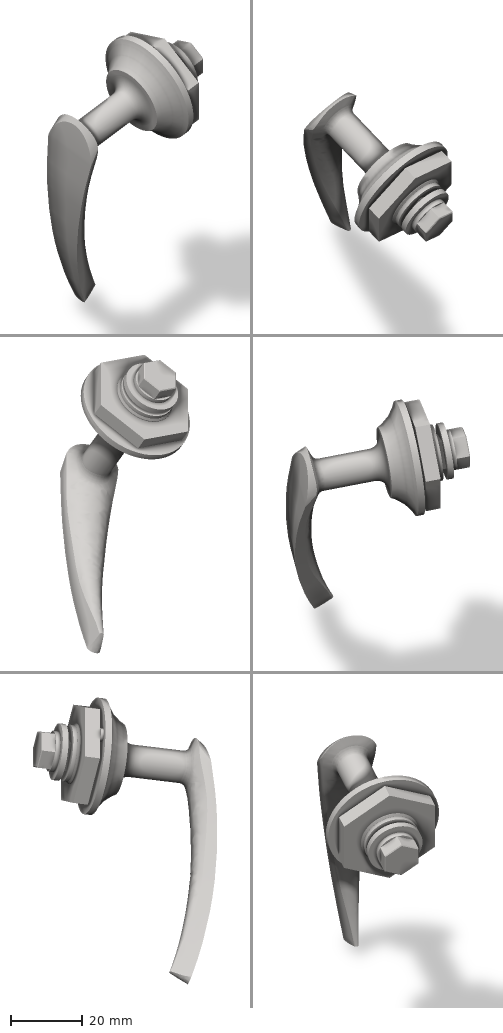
import cadquery as cq
import math


FLANGE_RADIUS = 16.5
FLANGE_THICKNESS = 1.95
HOUSING_DEPTH = 8.1
SEAT_RADIUS = 10.1
FLARE_MID_RADIUS = 12.0
FLARE_MID_DEPTH = 5.2
BARREL_RADIUS = 8.6
BARREL_LENGTH = 5.9
BARREL_CHAMFER = 0.5
LUG_DIAMETER = 3.7
LUG_OFFSET = 12.9

NUT_ACROSS_FLATS = 27.0
NUT_THICKNESS = 4.25
NUT_GAP = 0.85

WASHER_DIAMETER = 16.1
INNER_WASHER_THICKNESS = 1.3
WASHER_SPACING = 1.4
OUTER_WASHER_THICKNESS = 1.7
SPRING_WASHER_THICKNESS = 1.45
OUTER_WASHER_Y = BARREL_LENGTH + INNER_WASHER_THICKNESS + WASHER_SPACING
SPRING_WASHER_Y = OUTER_WASHER_Y + OUTER_WASHER_THICKNESS
BOLT_HEAD_Y = SPRING_WASHER_Y + SPRING_WASHER_THICKNESS

BOLT_ACROSS_FLATS = 10.0
BOLT_HEAD_HEIGHT = 3.9
BOLT_HEAD_CHAMFER = 0.25
BOLT_SHANK_DIAMETER = 6.0
BOLT_SHANK_LENGTH = 11.9

SPINDLE_DIAMETER = 11.6
NECK_RADIUS = 4.6
NECK_FLARE_RADIUS = 3.6
SHOULDER_RADIUS = NECK_RADIUS + NECK_FLARE_RADIUS
SHOULDER_THICKNESS = 1.7
NECK_END_Y = -28.9
NECK_MARGIN = 0.2
NECK_TO_LEVER_FILLET = 2.0

HEAD_RADIUS = 8.6
TIP_RADIUS = 2.0
TIP_END_Z = -68.5
TIP_END_Y = -28.3
TIP_SLANT = 0.53
RIM_BEVEL_Y = -29.3
RIM_BEVEL_SLOPE = 0.9
FRONT_APEX_Y = -35.1
FRONT_APEX_Z = -26.7
FRONT_ARC_RADIUS = 131.75
BACK_APEX_Y = -29.2
BACK_APEX_Z = -24.65
BACK_ARC_RADIUS = 132.6
SIDE_DRAFT = 0.25
BLANK_FRONT_Y = -39.1
BLANK_BACK_Y = -18.7
ARM_STATIONS = [(-5.95, 2.9), (-12.75, 3.2), (-27.2, 2.6), (-38.25, 2.55), (-51, 1.45), (-65.45, 0.5), (-71.4, 0.3)]
HEAD_STATIONS = [(10.2, -29.1, 0.3), (5.1, -27.9, 1.7), (0, -26.9, 2.7)]


def across_y(y):
    """Sketch plane at height y: local x is X, local y is Z, extrusion goes toward -Y."""
    return cq.Workplane("XZ", origin=(0, y, 0))


def cylinder(diameter, y, length):
    return across_y(y).circle(diameter / 2).extrude(-length)


def hexagon(across_flats, y, length):
    """Hexagonal prism with corners at +Z and -Z."""
    corner_diameter = across_flats / math.cos(math.pi / 6)
    prism = across_y(y).polygon(6, corner_diameter).extrude(-length)
    return prism.rotate((0, 0, 0), (0, 1, 0), 30)


def square_end(y, length):
    """Square prism with its corners on the X and Z axes."""
    return across_y(y).polygon(4, SPINDLE_DIAMETER).extrude(-length)


def make_housing():
    profile = (
        cq.Workplane("XY")
        .moveTo(0, -HOUSING_DEPTH)
        .lineTo(SEAT_RADIUS, -HOUSING_DEPTH)
        .threePointArc((FLARE_MID_RADIUS, -FLARE_MID_DEPTH), (FLANGE_RADIUS, -FLANGE_THICKNESS))
        .lineTo(FLANGE_RADIUS, 0)
        .lineTo(BARREL_RADIUS, 0)
        .lineTo(BARREL_RADIUS, BARREL_LENGTH - BARREL_CHAMFER)
        .lineTo(BARREL_RADIUS - BARREL_CHAMFER, BARREL_LENGTH)
        .lineTo(0, BARREL_LENGTH)
        .close()
    )
    body = profile.revolve(360, (0, 0, 0), (0, 1, 0))
    lug = cylinder(LUG_DIAMETER, 0, NUT_GAP).translate((-LUG_OFFSET, 0, 0))
    bore = cylinder(SPINDLE_DIAMETER, -HOUSING_DEPTH, HOUSING_DEPTH + BARREL_LENGTH)
    recess = cylinder(2 * SHOULDER_RADIUS, -HOUSING_DEPTH, SHOULDER_THICKNESS)
    return body.union(lug).cut(bore).cut(recess)


def make_nut():
    bore = cylinder(2 * BARREL_RADIUS, NUT_GAP, NUT_THICKNESS)
    return hexagon(NUT_ACROSS_FLATS, NUT_GAP, NUT_THICKNESS).cut(bore)


def make_square_washer(y, thickness):
    return cylinder(WASHER_DIAMETER, y, thickness).cut(square_end(y, thickness))


def make_spring_washer():
    ring = cylinder(SPINDLE_DIAMETER, SPRING_WASHER_Y, SPRING_WASHER_THICKNESS)
    return ring.cut(cylinder(BOLT_SHANK_DIAMETER, SPRING_WASHER_Y, SPRING_WASHER_THICKNESS))


def make_bolt_shank():
    return cylinder(BOLT_SHANK_DIAMETER, BOLT_HEAD_Y - BOLT_SHANK_LENGTH, BOLT_SHANK_LENGTH)


def make_bolt():
    head = hexagon(BOLT_ACROSS_FLATS, BOLT_HEAD_Y, BOLT_HEAD_HEIGHT)
    head = head.faces(">Y").chamfer(BOLT_HEAD_CHAMFER)
    return head.union(make_bolt_shank())


def tip_center_z(y):
    return TIP_END_Z + TIP_RADIUS + TIP_SLANT * (y - TIP_END_Y)


def rounded_outline(y, head_z, tip_z, tip_radius):
    """Closed wire at y: a head circle and a tip circle joined by their common tangents."""
    lean = math.asin((HEAD_RADIUS - tip_radius) / (head_z - tip_z))
    across = math.cos(lean)
    down = math.sin(lean)

    def tangent_point(radius, center_z, side):
        return side * radius * across, center_z - radius * down

    return (
        across_y(y)
        .moveTo(*tangent_point(HEAD_RADIUS, head_z, -1))
        .threePointArc((0, head_z + HEAD_RADIUS), tangent_point(HEAD_RADIUS, head_z, 1))
        .lineTo(*tangent_point(tip_radius, tip_z, 1))
        .threePointArc((0, tip_z - tip_radius), tangent_point(tip_radius, tip_z, -1))
        .close()
        .val()
    )


def make_lever_blank():
    """Tapered outline carried through the thickness, with its tip slanted."""
    outlines = [
        rounded_outline(y, 0, tip_center_z(y), TIP_RADIUS) for y in (BLANK_BACK_Y, BLANK_FRONT_Y)
    ]
    return cq.Workplane(cq.Solid.makeLoft(outlines, True))


def make_rim_cutter():
    """Block in front of the bevel start, hollowed by an oblique slot that clears the arm."""
    depth = RIM_BEVEL_Y - BLANK_FRONT_Y
    block = across_y(RIM_BEVEL_Y).rect(4 * HEAD_RADIUS, 4 * HEAD_RADIUS).extrude(depth)

    def slot(y):
        head_z = RIM_BEVEL_SLOPE * (y - RIM_BEVEL_Y)
        return rounded_outline(y, head_z, TIP_END_Z, HEAD_RADIUS)

    clearance = cq.Solid.makeLoft([slot(RIM_BEVEL_Y), slot(BLANK_FRONT_Y)], True)
    return block.cut(cq.Workplane(clearance))


def arc_drop(radius, offset):
    """Distance an arc falls back at the given offset from its apex."""
    return radius - math.sqrt(radius ** 2 - offset ** 2)


def front_face_y(z):
    return FRONT_APEX_Y + arc_drop(FRONT_ARC_RADIUS, z - FRONT_APEX_Z)


def crowned_section(z, ridge_y, crown):
    """Closed wire at height z: rounded back, drafted sides, flat in front of the lever face."""
    taper = (HEAD_RADIUS - TIP_RADIUS) / -tip_center_z(TIP_END_Y)
    face_half_width = HEAD_RADIUS + taper * min(z, 0)
    edge_y = ridge_y - crown
    side_depth = edge_y - front_face_y(z)
    edge_half_width = face_half_width - SIDE_DRAFT * side_depth
    front_half_width = face_half_width + SIDE_DRAFT * (front_face_y(z) - BLANK_FRONT_Y)
    return (
        cq.Workplane("XY", origin=(0, 0, z))
        .moveTo(-front_half_width, BLANK_FRONT_Y)
        .lineTo(-edge_half_width, edge_y)
        .threePointArc((0, ridge_y), (edge_half_width, edge_y))
        .lineTo(front_half_width, BLANK_FRONT_Y)
        .close()
        .val()
    )


def make_crowned_form():
    sections = [crowned_section(*station) for station in HEAD_STATIONS]
    for z, crown in ARM_STATIONS:
        ridge_y = BACK_APEX_Y + arc_drop(BACK_ARC_RADIUS, z - BACK_APEX_Z)
        sections.append(crowned_section(z, ridge_y, crown))
    return cq.Workplane(cq.Solid.makeLoft(sections, False))


def make_lever():
    front_cylinder = (
        cq.Workplane("YZ", origin=(-2 * HEAD_RADIUS, 0, 0))
        .center(FRONT_APEX_Y + FRONT_ARC_RADIUS, FRONT_APEX_Z)
        .circle(FRONT_ARC_RADIUS)
        .extrude(4 * HEAD_RADIUS)
    )
    lever = make_lever_blank().intersect(make_crowned_form()).intersect(front_cylinder)
    return lever.cut(make_rim_cutter())


def make_spindle():
    """Plain spindle in the housing, with a flush shoulder, flare and neck in front of it."""
    seat_y = -HOUSING_DEPTH
    shoulder_y = seat_y + SHOULDER_THICKNESS
    flare_mid = NECK_FLARE_RADIUS * (1 - math.sqrt(0.5))
    profile = (
        cq.Workplane("XY")
        .moveTo(0, NECK_END_Y)
        .lineTo(NECK_RADIUS, NECK_END_Y)
        .lineTo(NECK_RADIUS, seat_y - NECK_FLARE_RADIUS)
        .threePointArc((NECK_RADIUS + flare_mid, seat_y - flare_mid), (SHOULDER_RADIUS, seat_y))
        .lineTo(SHOULDER_RADIUS, shoulder_y)
        .lineTo(SPINDLE_DIAMETER / 2, shoulder_y)
        .lineTo(SPINDLE_DIAMETER / 2, BARREL_LENGTH)
        .lineTo(0, BARREL_LENGTH)
        .close()
    )
    return profile.revolve(360, (0, 0, 0), (0, 1, 0))


def make_handle():
    neck_and_lever = make_spindle().union(make_lever())
    reach = NECK_RADIUS + NECK_MARGIN
    junction = cq.selectors.BoxSelector(
        (-reach, NECK_END_Y, -reach),
        (reach, BLANK_BACK_Y, reach),
        boundingbox=True,
    )
    neck_and_lever = neck_and_lever.edges(junction).fillet(NECK_TO_LEVER_FILLET)
    square = square_end(BARREL_LENGTH, SPRING_WASHER_Y - BARREL_LENGTH)
    return neck_and_lever.union(square).cut(make_bolt_shank())


housing = make_housing()
nut = make_nut()
handle = make_handle()
inner_washer = make_square_washer(BARREL_LENGTH, INNER_WASHER_THICKNESS)
outer_washer = make_square_washer(OUTER_WASHER_Y, OUTER_WASHER_THICKNESS)
spring_washer = make_spring_washer()
bolt = make_bolt()

bodies = [housing, nut, handle, inner_washer, outer_washer, spring_washer, bolt]
result = cq.Compound.makeCompound([body.solids().val() for body in bodies])